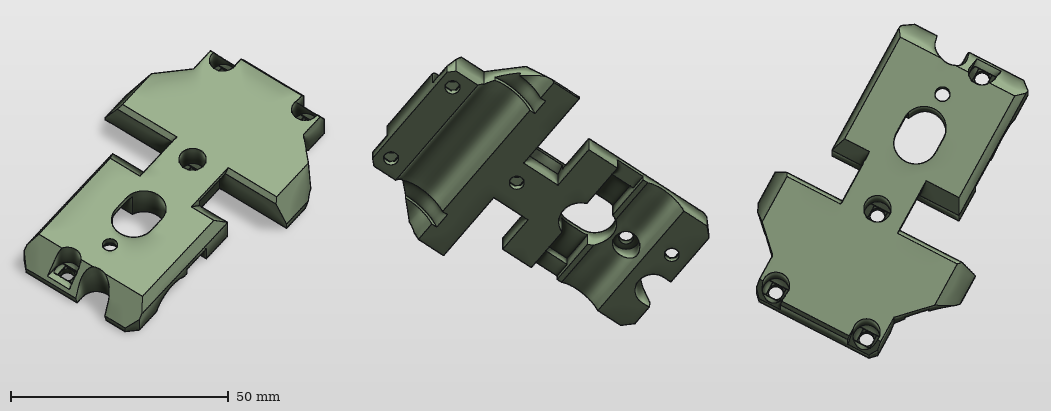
import cadquery as cq
import math

LENGTH = 74.5
WIDTH = 52.0
HEIGHT = 8.0
SIDE_SLOPE = math.tan(math.radians(30))
OVERSHOOT = 3.7

BLOCK_WIDTH = 33.0
BLOCK_BACK = 36.1
WING_FRONT = 46.0
NECK_LEFT, NECK_RIGHT = -6.3, 8.4
HEAD_LEFT, HEAD_RIGHT = -15.0, 16.55
SHOULDER_Y = 65.05
HEAD_CORNER = 1.5
BLOCK_CORNER = 2.3

WING_SILL_LEFT, WING_SILL_RIGHT = 0.8, 1.65
BLOCK_BEVEL = 2.8
BLOCK_BACK_RUN = 3.1
WING_BEVEL = 1.1
NOSE_HEIGHT = 1.4
NOSE_RUN = 5.7
HEAD_BEVEL_RUN = 0.75
HEAD_BEVEL_DROP = 0.9
EAR_RUN = 3.0
EAR_SPLIT_LEFT, EAR_SPLIT_RIGHT = -8.0, 9.5

UNDERCUT_TOP, UNDERCUT_BOTTOM = 6.85, 5.0
UNDERCUT_DEPTH = 1.65

SCREW_POSITIONS = [(-11.0, 71.1), (12.5, 71.1), (0.45, 44.1)]
FRONT_SCREW = (-5.5, 4.2)
HEAD_DIAMETER = 6.25
SCREW_DIAMETER = 3.4
SEAT_Z = 2.2
SEAT_STEP = 0.3

SLOT_Y, SLOT_LENGTH, SLOT_WIDTH = 24.15, 14.1, 10.1
PEEP_Y, PEEP_DIAMETER = 13.1, 3.4
CHANNEL_X, CHANNEL_Y = 4.55, 2.1
CHANNEL_RADIUS = 4.0
CHANNEL_TILT = 15.0

FRONT_AXLE_Y, FRONT_ARCH_RADIUS, FRONT_ARCH_TOP = 15.05, 7.0, 3.65
REAR_AXLE_Y, REAR_ARCH_RADIUS, REAR_ARCH_TOP = 60.0, 7.7, 4.1
WHEEL_GROOVE_RADIUS = 8.95
WHEEL_GROOVE_INNER, WHEEL_GROOVE_OUTER = 16.75, 20.85
CROSS_SLOT_FRONT, CROSS_SLOT_BACK, CROSS_SLOT_TOP = 20.55, 27.95, 3.8
LEDGE_TOP = 2.2
CAVITY_HALF_WIDTH, CAVITY_TOP = 12.7, 6.55
PEEP_RECESS_DIAMETER, PEEP_RECESS_TOP = 6.25, 6.3


def box(x0, x1, y0, y1, z0, z1):
    return cq.Workplane("XY").box(x1 - x0, y1 - y0, z1 - z0, centered=False).translate((x0, y0, z0))


def prism_x(points, x0, x1):
    """Prism along X from a (Y, Z) outline."""
    return cq.Workplane("YZ").workplane(offset=x0).polyline(points).close().extrude(x1 - x0)


def prism_y(points, y0, y1):
    """Prism along Y from an (X, Z) outline."""
    return cq.Workplane("XZ").workplane(offset=-y1).polyline(points).close().extrude(y1 - y0)


def cylinder_x(y, z, radius, x0, x1):
    return cq.Workplane("YZ").workplane(offset=x0).center(y, z).circle(radius).extrude(x1 - x0)


def plate(points):
    return cq.Workplane("XY").polyline(points).close().extrude(HEIGHT)


def make_block():
    half = BLOCK_WIDTH / 2
    block = plate([
        (-half + BLOCK_CORNER, 0),
        (half - BLOCK_CORNER, 0),
        (half, BLOCK_CORNER),
        (half, BLOCK_BACK),
        (-half, BLOCK_BACK),
        (-half, BLOCK_CORNER),
    ])
    bevel_base = HEIGHT - BLOCK_BEVEL
    top_half = half - BLOCK_BEVEL * SIDE_SLOPE
    side_profile = prism_y(
        [(-half, 0), (half, 0), (half, bevel_base), (top_half, HEIGHT), (-top_half, HEIGHT), (-half, bevel_base)],
        0, BLOCK_BACK,
    )
    long_profile = prism_x(
        [(0, 0), (BLOCK_BACK, 0), (BLOCK_BACK, bevel_base), (BLOCK_BACK - BLOCK_BACK_RUN, HEIGHT),
         (NOSE_RUN, HEIGHT), (0, NOSE_HEIGHT)],
        -half, half,
    )
    return block.intersect(side_profile).intersect(long_profile)


def make_wings():
    half = WIDTH / 2
    wings = plate([
        (-half, WING_FRONT),
        (half, WING_FRONT),
        (half, SHOULDER_Y - (half - HEAD_RIGHT)),
        (HEAD_RIGHT, SHOULDER_Y),
        (HEAD_RIGHT, LENGTH - HEAD_CORNER),
        (HEAD_RIGHT - HEAD_CORNER, LENGTH),
        (HEAD_LEFT + HEAD_CORNER, LENGTH),
        (HEAD_LEFT, LENGTH - HEAD_CORNER),
        (HEAD_LEFT, SHOULDER_Y),
        (-half, SHOULDER_Y - (half + HEAD_LEFT)),
    ])
    left_run = (HEIGHT - WING_SILL_LEFT) * SIDE_SLOPE
    right_run = (HEIGHT - WING_SILL_RIGHT) * SIDE_SLOPE
    side_profile = prism_y(
        [(-half, 0), (half, 0), (half, WING_SILL_RIGHT), (half - right_run, HEIGHT),
         (-half + left_run, HEIGHT), (-half, WING_SILL_LEFT)],
        WING_FRONT, LENGTH,
    )
    long_profile = prism_x(
        [(WING_FRONT, 0), (LENGTH, 0), (LENGTH, HEIGHT - HEAD_BEVEL_DROP), (LENGTH - HEAD_BEVEL_RUN, HEIGHT),
         (WING_FRONT + WING_BEVEL, HEIGHT), (WING_FRONT, HEIGHT - WING_BEVEL)],
        -half, half,
    )
    return wings.intersect(side_profile).intersect(long_profile)


def make_neck():
    """Bridge between block and wings, running on over their bevels."""
    inner_left = NECK_LEFT + UNDERCUT_DEPTH
    inner_right = NECK_RIGHT - UNDERCUT_DEPTH
    bridge = prism_y(
        [(inner_left, 0), (inner_right, 0), (inner_right, UNDERCUT_BOTTOM), (NECK_RIGHT, UNDERCUT_TOP),
         (NECK_RIGHT, HEIGHT), (NECK_LEFT, HEIGHT), (NECK_LEFT, UNDERCUT_TOP), (inner_left, UNDERCUT_BOTTOM)],
        BLOCK_BACK, WING_FRONT + WING_BEVEL,
    )
    root = box(NECK_LEFT, NECK_RIGHT, BLOCK_BACK - BLOCK_BACK_RUN, BLOCK_BACK, 0, HEIGHT)
    return bridge.union(root)


def ear_cutter(x0, x1):
    """Steep slope on the back of the head beside its raised middle."""
    drop = EAR_RUN / SIDE_SLOPE
    return prism_x(
        [(LENGTH - EAR_RUN, HEIGHT), (LENGTH, HEIGHT), (LENGTH, HEIGHT - drop)], x0, x1,
    )


def screw_cutter(x, y):
    """Head recess over a slotted step, a square step and the round screw hole."""
    radius = SCREW_DIAMETER / 2
    head_radius = HEAD_DIAMETER / 2
    head = cq.Workplane("XY").workplane(offset=SEAT_Z).circle(head_radius).extrude(HEIGHT)
    strip = (
        cq.Workplane("XY").workplane(offset=SEAT_Z - SEAT_STEP).circle(head_radius).extrude(SEAT_STEP)
        .intersect(box(-head_radius, head_radius, -radius, radius, 0, HEIGHT))
    )
    square = box(-radius, radius, -radius, radius, SEAT_Z - 2 * SEAT_STEP, SEAT_Z)
    hole = cq.Workplane("XY").circle(radius).extrude(HEIGHT)
    return head.union(strip).union(square).union(hole).translate((x, y, 0))


def front_recess_opening():
    """Opens the front head recess out through the sloped nose."""
    x, y = FRONT_SCREW
    radius = HEAD_DIAMETER / 2
    return box(x - radius, x + radius, -OVERSHOOT, y, SEAT_Z, HEIGHT)


def channel_cutter():
    """U-shaped channel leaning sideways through the nose, open to the front."""
    reach = 2 * HEIGHT
    depth = CHANNEL_Y + OVERSHOOT
    return (
        cq.Workplane("XY")
        .moveTo(-CHANNEL_RADIUS, -depth)
        .lineTo(-CHANNEL_RADIUS, 0)
        .threePointArc((0, CHANNEL_RADIUS), (CHANNEL_RADIUS, 0))
        .lineTo(CHANNEL_RADIUS, -depth)
        .close()
        .extrude(reach, both=True)
        .rotate((0, 0, 0), (0, 1, 0), -CHANNEL_TILT)
        .translate((CHANNEL_X, CHANNEL_Y, 0))
    )


def slot_cutter():
    return cq.Workplane("XY").center(0, SLOT_Y).slot2D(SLOT_LENGTH, SLOT_WIDTH, 90).extrude(HEIGHT)


def peep_cutter():
    """Small through hole, widened from below by a round recess."""
    plane = cq.Workplane("XY").center(0, PEEP_Y)
    hole = plane.circle(PEEP_DIAMETER / 2).extrude(HEIGHT)
    recess = plane.circle(PEEP_RECESS_DIAMETER / 2).extrude(PEEP_RECESS_TOP)
    return hole.union(recess)


def cut_underside(body):
    """Axle arches, wheel grooves and the slot across the block with its inner cavity."""
    half = WIDTH / 2
    front_axle_z = FRONT_ARCH_TOP - FRONT_ARCH_RADIUS
    rear_axle_z = REAR_ARCH_TOP - REAR_ARCH_RADIUS
    body = body.cut(cylinder_x(FRONT_AXLE_Y, front_axle_z, FRONT_ARCH_RADIUS, -half, half))
    body = body.cut(cylinder_x(REAR_AXLE_Y, rear_axle_z, REAR_ARCH_RADIUS, -half, half))
    for x0, x1 in [
        (-WHEEL_GROOVE_OUTER, -WHEEL_GROOVE_INNER),
        (WHEEL_GROOVE_INNER, WHEEL_GROOVE_OUTER),
    ]:
        body = body.cut(cylinder_x(REAR_AXLE_Y, rear_axle_z, WHEEL_GROOVE_RADIUS, x0, x1))
    body = body.cut(box(-half, half, CROSS_SLOT_FRONT, CROSS_SLOT_BACK, 0, CROSS_SLOT_TOP))
    body = body.cut(box(-half, half, FRONT_AXLE_Y, CROSS_SLOT_FRONT, 0, LEDGE_TOP))
    cavity = box(-CAVITY_HALF_WIDTH, CAVITY_HALF_WIDTH, CROSS_SLOT_FRONT, CROSS_SLOT_BACK, 0, CAVITY_TOP)
    return body.cut(cavity)


result = make_block().union(make_wings()).union(make_neck())
result = result.cut(ear_cutter(HEAD_LEFT, EAR_SPLIT_LEFT))
result = result.cut(ear_cutter(EAR_SPLIT_RIGHT, HEAD_RIGHT))
for screw_x, screw_y in SCREW_POSITIONS + [FRONT_SCREW]:
    result = result.cut(screw_cutter(screw_x, screw_y))
result = result.cut(front_recess_opening())
result = result.cut(channel_cutter())
result = result.cut(slot_cutter())
result = result.cut(peep_cutter())
result = cut_underside(result)